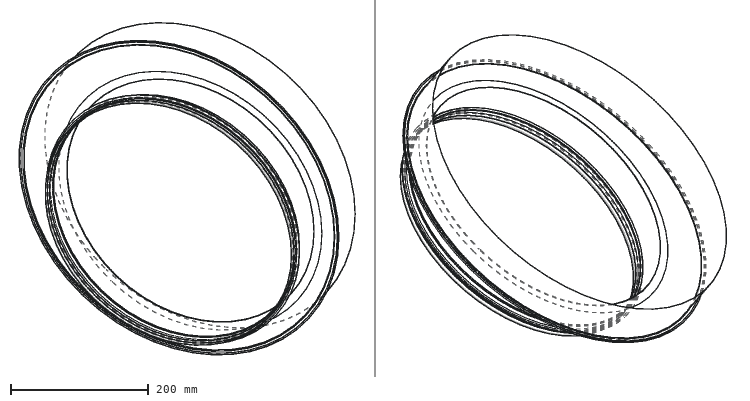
import cadquery as cq


sheet = 0.5
overall_length = 144.0
spigot_offset = 18.5

rim_diameter = 515.5
shell_diameter = 501.5
lip_diameter = 503.5
lip_front = 72.5
lip_thickness = 1.0
rim_back_thickness = 1.0

plate_diameter = 511.0
plate_front = lip_front + lip_thickness
plate_back = plate_front + sheet

spigot_diameter = 399.0
mouth_diameter = 398.0
taper_length = 2.0
collar_diameter = 425.0
groove_diameter = 394.0
groove_front = 10.0
groove_back = 23.5
groove_slope = 2.0

strip_diameter = 395.5
bead_diameter = 399.5
front_fin_diameter = 404.0
back_fin_diameter = 409.5
strip_back = 21.5
front_fin_start = 10.5
front_fin_thickness = 1.0
back_fin_start = 14.0
back_fin_thickness = 1.5


def revolve_about_y(outline, axis_x=0.0):
    """Revolve (diameter, y) points about the line parallel to Y through axis_x."""
    points = [(axis_x + diameter / 2, y) for diameter, y in outline]
    return (
        cq.Workplane("XY")
        .polyline(points)
        .close()
        .revolve(360, (axis_x, 0, 0), (axis_x, 1, 0))
    )


def make_shell():
    inner_diameter = shell_diameter - 2 * sheet
    rim_back = plate_back + rim_back_thickness
    return revolve_about_y([
        (inner_diameter, overall_length),
        (shell_diameter, overall_length),
        (shell_diameter, rim_back),
        (rim_diameter, rim_back),
        (rim_diameter, lip_front),
        (lip_diameter, lip_front),
        (lip_diameter, plate_front),
        (plate_diameter, plate_front),
        (plate_diameter, plate_back),
        (inner_diameter, plate_back),
    ])


def make_end_plate():
    disc = revolve_about_y([
        (0, plate_front),
        (plate_diameter, plate_front),
        (plate_diameter, plate_back),
        (0, plate_back),
    ])
    bore = revolve_about_y([
        (0, plate_front),
        (spigot_diameter, plate_front),
        (spigot_diameter, plate_back),
        (0, plate_back),
    ], spigot_offset)
    return disc.cut(bore)


def make_spigot():
    outer_side = [
        (mouth_diameter, 0),
        (spigot_diameter, taper_length),
        (spigot_diameter, groove_front - groove_slope),
        (groove_diameter, groove_front),
        (groove_diameter, groove_back),
        (spigot_diameter, groove_back + groove_slope),
    ]
    inner_side = [(diameter - 2 * sheet, y) for diameter, y in reversed(outer_side)]
    collar = [
        (spigot_diameter, plate_front - sheet),
        (collar_diameter, plate_front - sheet),
        (collar_diameter, plate_front),
        (spigot_diameter, plate_front),
    ]
    back_end = [
        (spigot_diameter, plate_back),
        (spigot_diameter - 2 * sheet, plate_back),
    ]
    return revolve_about_y(outer_side + collar + back_end + inner_side, spigot_offset)


def make_gasket():
    front_fin_end = front_fin_start + front_fin_thickness
    back_fin_end = back_fin_start + back_fin_thickness
    return revolve_about_y([
        (groove_diameter, front_fin_start),
        (front_fin_diameter, front_fin_start),
        (front_fin_diameter, front_fin_end),
        (bead_diameter, front_fin_end),
        (bead_diameter, back_fin_start),
        (back_fin_diameter, back_fin_start),
        (back_fin_diameter, back_fin_end),
        (strip_diameter, back_fin_end),
        (strip_diameter, strip_back),
        (groove_diameter, strip_back),
    ], spigot_offset)


shell = make_shell()
end_plate = make_end_plate()
spigot = make_spigot()
gasket = make_gasket()

result = cq.Compound.makeCompound([shell.val(), end_plate.val(), spigot.val(), gasket.val()])